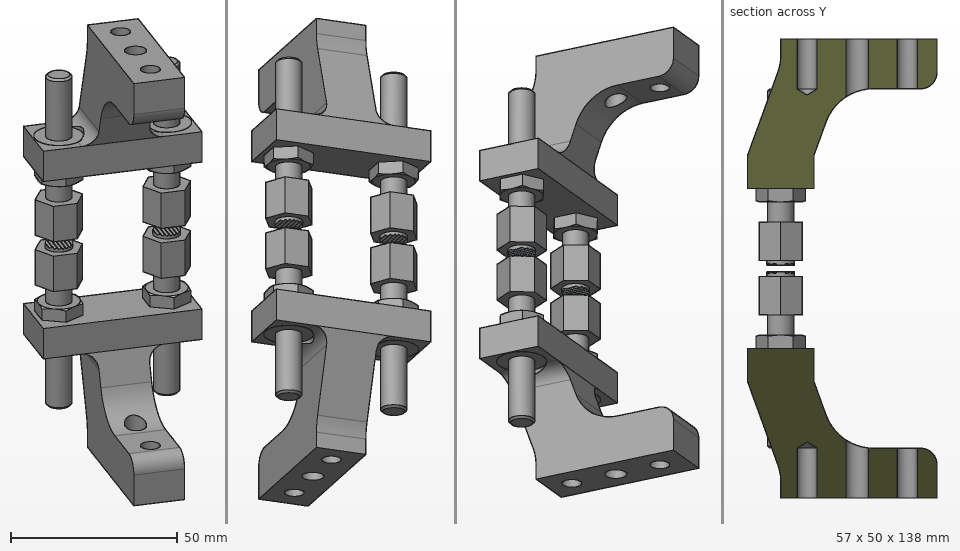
import cadquery as cq
import math


total_height = 138.0
total_length = 57.0
plate_length = 20.0
plate_width = 50.0
plate_thickness = 10.0
plate_top_depth = 35.0
arm_start = plate_length / 2
arm_thickness = 15.0
web_width = 16.0
web_foot_radius = 5.0
inner_bend_radius = 15.0
outer_bend_radius = 15.0
arm_end_radius = 5.0

arm_top = total_height / 2
arm_bottom = arm_top - arm_thickness
plate_top = arm_top - plate_top_depth
plate_bottom = plate_top - plate_thickness

web_angle = math.radians(20)
lean = math.tan(web_angle)

hole_pitch = 15.0
blind_hole_x = 18.0
middle_hole_x = blind_hole_x + hole_pitch
end_hole_x = middle_hole_x + hole_pitch
small_hole_diameter = 6.0
middle_hole_diameter = 6.6
blind_hole_depth = 15.0
drill_point_angle = 118.0

screw_x = plate_length / 2
screw_spacing = 34.0
rod_diameter = 8.0
rod_top = arm_bottom
rod_chamfer = 0.7
hex_across_flats = 13.0
hex_across_corners = hex_across_flats / math.cos(math.radians(30))
head_height = 11.6
tip_height = 1.4
tip_diameter = 8.4
tip_gap = 2.0
tip_end = tip_gap / 2
head_bottom = tip_end + tip_height
groove_count = 7
groove_pitch = tip_diameter / groove_count
groove_depth = 0.5
nut_thickness = 4.0
nut_chamfer_angle = 20.0
spotface_diameter = 15.0
spotface_depth = 0.07

screw_ys = (-screw_spacing / 2, screw_spacing / 2)


def cylinder(x, y, bottom, height, diameter):
    return cq.Workplane("XY", origin=(x, y, bottom)).circle(diameter / 2).extrude(height)


def hex_prism(y, bottom, height, corner_angle):
    """Hexagonal prism on a screw axis, with one corner at corner_angle degrees from +X."""
    prism = cq.Workplane("XY").polygon(6, hex_across_corners).extrude(height)
    return prism.rotate((0, 0, 0), (0, 0, 1), corner_angle).translate((screw_x, y, bottom))


def bracket_side_profile():
    """Bracket outline in XZ, extruded over the full plate width."""
    outer_bend_z = plate_top + arm_start / lean
    inner_bend_x = plate_length + (arm_bottom - plate_top) * lean
    profile = (
        cq.Workplane("XZ")
        .polyline([
            (0, plate_bottom),
            (plate_length, plate_bottom),
            (plate_length, plate_top),
            (inner_bend_x, arm_bottom),
            (total_length, arm_bottom),
            (total_length, arm_top),
            (arm_start, arm_top),
            (arm_start, outer_bend_z),
            (0, plate_top),
        ])
        .close()
        .extrude(plate_width / 2, both=True)
    )

    def round_edge(solid, x, z, radius):
        return solid.edges(cq.selectors.NearestToPointSelector((x, 0, z))).fillet(radius)

    profile = round_edge(profile, arm_start, outer_bend_z, outer_bend_radius)
    profile = round_edge(profile, inner_bend_x, arm_bottom, inner_bend_radius)
    return round_edge(profile, total_length, arm_bottom, arm_end_radius)


def bracket_end_profile():
    """Bracket outline in YZ, an inverted T with filleted inner corners, extruded over the full length."""
    half_plate = plate_width / 2
    half_web = web_width / 2
    foot_y = half_web + web_foot_radius
    foot_z = plate_top + web_foot_radius
    return (
        cq.Workplane("YZ")
        .moveTo(-half_plate, plate_bottom)
        .lineTo(half_plate, plate_bottom)
        .lineTo(half_plate, plate_top)
        .lineTo(foot_y, plate_top)
        .radiusArc((half_web, foot_z), web_foot_radius)
        .lineTo(half_web, arm_top)
        .lineTo(-half_web, arm_top)
        .lineTo(-half_web, foot_z)
        .radiusArc((-foot_y, plate_top), web_foot_radius)
        .lineTo(-half_plate, plate_top)
        .close()
        .extrude(total_length)
    )


def blind_hole():
    """Drilled hole with a conical bottom."""
    radius = small_hole_diameter / 2
    point_height = radius / math.tan(math.radians(drill_point_angle / 2))
    wall_end = arm_top - blind_hole_depth
    section = [(0, arm_top), (radius, arm_top), (radius, wall_end), (0, wall_end - point_height)]
    drill = cq.Workplane("XZ").polyline(section).close().revolve(360, (0, 0), (0, 1))
    return drill.translate((blind_hole_x, 0, 0))


def make_bracket():
    bracket = bracket_side_profile().intersect(bracket_end_profile())
    bracket = bracket.cut(blind_hole())
    bracket = bracket.cut(cylinder(middle_hole_x, 0, plate_top, plate_top_depth, middle_hole_diameter))
    bracket = bracket.cut(cylinder(end_hole_x, 0, arm_bottom, arm_thickness, small_hole_diameter))
    for y in screw_ys:
        spotface_z = plate_top - spotface_depth
        bracket = bracket.cut(cylinder(screw_x, y, spotface_z, web_foot_radius, spotface_diameter))
        bracket = bracket.cut(cylinder(screw_x, y, plate_bottom, plate_thickness, rod_diameter))
    return bracket


def make_screw(y):
    """Chamfered rod, hexagonal head with corners along Y, and a tip with V grooves along X."""
    rod = cylinder(screw_x, y, head_bottom, rod_top - head_bottom, rod_diameter)
    rod = rod.faces(">Z").chamfer(rod_chamfer)
    tip = cylinder(screw_x, y, tip_end, tip_height, tip_diameter)
    screw = rod.union(hex_prism(y, head_bottom, head_height, 90)).union(tip)
    for i in range(groove_count):
        groove_y = y + (i - (groove_count - 1) / 2) * groove_pitch
        groove = (
            cq.Workplane("YZ", origin=(screw_x, groove_y, tip_end))
            .polyline([(-groove_pitch / 2, 0), (groove_pitch / 2, 0), (0, groove_depth)])
            .close()
            .extrude(tip_diameter, both=True)
        )
        screw = screw.cut(groove)
    return screw


def make_nut(y):
    """Thin nut with corners along X; its face away from the plate has a conical chamfer."""
    bottom = plate_bottom - nut_thickness
    nut = hex_prism(y, bottom, nut_thickness, 0)
    cone = (
        cq.Workplane("XY", origin=(screw_x, y, bottom))
        .circle(hex_across_flats / 2)
        .extrude(nut_thickness, taper=-(90 - nut_chamfer_angle))
    )
    nut = nut.intersect(cone)
    return nut.cut(cylinder(screw_x, y, bottom, nut_thickness, rod_diameter))


upper_bodies = [make_bracket()]
for screw_y in screw_ys:
    upper_bodies.append(make_screw(screw_y))
    upper_bodies.append(make_nut(screw_y))
lower_bodies = [body.mirror("XY") for body in upper_bodies]

result = cq.Compound.makeCompound([body.val() for body in upper_bodies + lower_bodies])